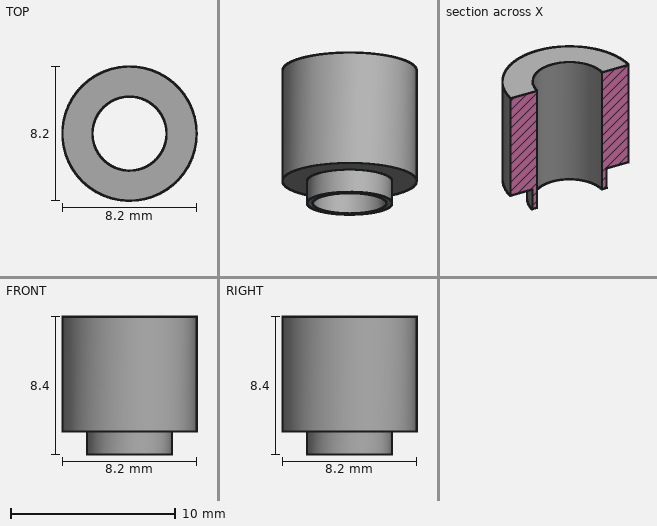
import cadquery as cq

body_diameter = 8.2
body_height = 7.0
spigot_diameter = 5.2
spigot_height = 1.4
bore_diameter = 4.5


def make_body():
    """Main cylinder, standing on the XY plane."""
    return cq.Workplane("XY").circle(body_diameter / 2).extrude(body_height)


def add_spigot(part):
    """Locating spigot below the body, on the same axis."""
    spigot = cq.Workplane("XY").circle(spigot_diameter / 2).extrude(-spigot_height)
    return part.union(spigot)


def cut_bore(part):
    """Plain bore through the body and the spigot."""
    bore = (
        cq.Workplane("XY", origin=(0, 0, -spigot_height))
        .circle(bore_diameter / 2)
        .extrude(spigot_height + body_height)
    )
    return part.cut(bore)


result = cut_bore(add_spigot(make_body()))